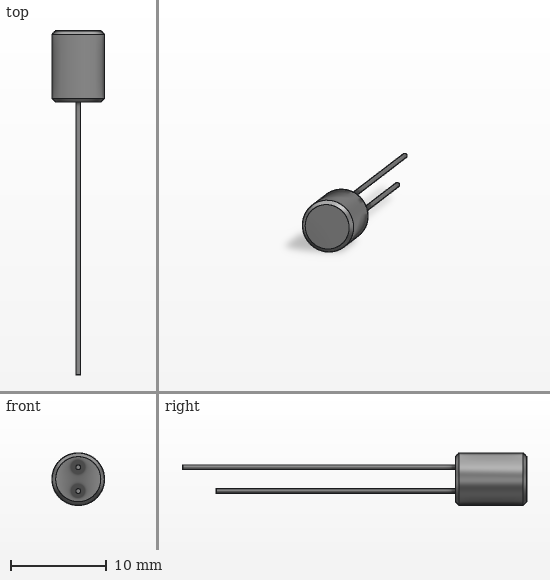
import cadquery as cq

overall_length = 36.0
can_diameter = 5.5
can_length = 7.5
rim_chamfer = 0.4
lead_diameter = 0.5
lead_pitch = 2.5
long_lead_length = overall_length - can_length
lead_length_difference = 3.5
short_lead_length = long_lead_length - lead_length_difference


def make_can():
    """Cylinder from the lead face at Y = 0 to the closed end, chamfered at both rims."""
    can = cq.Workplane("XZ").circle(can_diameter / 2).extrude(-can_length)
    return can.faces("<Y or >Y").chamfer(rim_chamfer)


def make_lead(z, length):
    """Straight round wire leaving the lead face at height z."""
    return cq.Workplane("XZ").center(0, z).circle(lead_diameter / 2).extrude(length)


upper_lead = make_lead(lead_pitch / 2, long_lead_length)
lower_lead = make_lead(-lead_pitch / 2, short_lead_length)
result = make_can().union(upper_lead).union(lower_lead)